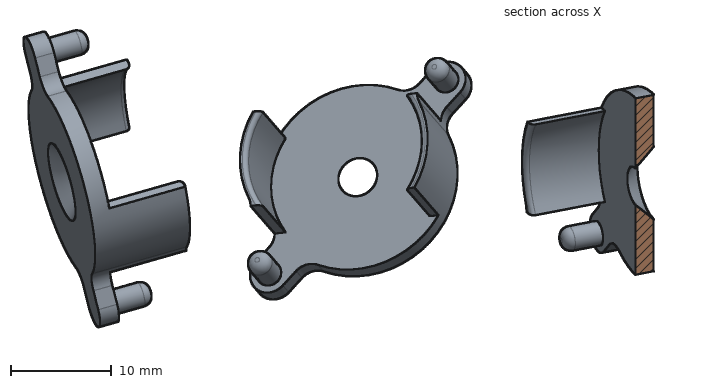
import cadquery as cq
import math

plate_thickness = 2.0
disc_radius = 9.75
lobe_radius = 2.0
lobe_distance = 13.0
neck_fillet = 2.0
lobe_tilt = 45.0

hole_diameter = 4.0
countersink_diameter = 8.0

wall_top = 10.0
wall_width = 10.0
wall_inner_radius = 9.0
wall_rim_fillet = 0.5

pin_diameter = 2.5
pin_height = 4.0
pin_tip_fillet = 1.0


def disc(radius, height):
    """Cylinder about the Y axis, rising from Y = 0."""
    return cq.Workplane("XZ").circle(radius).extrude(-height)


def turn_to_lobe_axis(body):
    return body.rotate((0, 0, 0), (0, 1, 0), lobe_tilt)


def outline_prism(height):
    """Disc with two lobes and filleted necks, extruded from Y = 0 to the given height."""
    lobe_span = 2 * (lobe_distance + lobe_radius)
    lobes = cq.Workplane("XZ").slot2D(lobe_span, 2 * lobe_radius).extrude(-height)
    prism = disc(disc_radius, height).union(lobes)
    neck_x = math.sqrt(disc_radius**2 - lobe_radius**2)
    for side_x in (-1, 1):
        for side_z in (-1, 1):
            neck_middle = (side_x * neck_x, height / 2, side_z * lobe_radius)
            prism = prism.edges(cq.NearestToPointSelector(neck_middle)).fillet(neck_fillet)
    return turn_to_lobe_axis(prism)


def walls():
    """Outline prism hollowed by the inner bore and trimmed to a band centred on Z = 0."""
    band_length = 2 * disc_radius
    band = cq.Workplane("XY").box(band_length, wall_top, wall_width, centered=(True, False, True))
    bore = disc(wall_inner_radius, wall_top)
    body = outline_prism(wall_top).intersect(band).cut(bore)
    for side in (-1, 1):
        rim_middle = (side * wall_inner_radius, wall_top, 0)
        body = body.edges(cq.NearestToPointSelector(rim_middle)).fillet(wall_rim_fillet)
    return body


def pins():
    pair = (
        cq.Workplane("XZ", origin=(0, plate_thickness, 0))
        .pushPoints([(-lobe_distance, 0), (lobe_distance, 0)])
        .circle(pin_diameter / 2)
        .extrude(-pin_height)
        .faces(">Y")
        .edges()
        .fillet(pin_tip_fillet)
    )
    return turn_to_lobe_axis(pair)


def countersunk_hole():
    return (
        cq.Workplane("XZ")
        .circle(countersink_diameter / 2)
        .workplane(offset=-plate_thickness)
        .circle(hole_diameter / 2)
        .loft(ruled=True)
    )


plate = outline_prism(plate_thickness)
result = plate.union(walls()).union(pins()).cut(countersunk_hole())